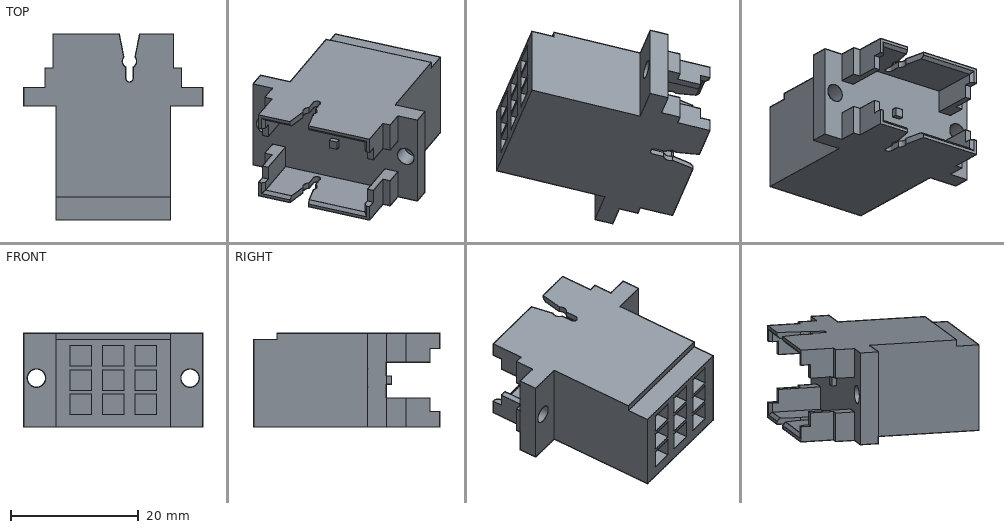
import cadquery as cq

length = 29.1
height = 14.7

body_width = 17.9
flange_width = 28.0
flange_front = 17.8
flange_back = 20.75
shoulder_width = 21.35
shoulder_back = 23.8
tail_width = 18.9

step_length = 3.63
step_depth = 1.0

hole_diameter = 2.83
hole_spacing = 24.0
hole_rise = 0.3

pocket_count = 3
pocket_width = 3.37
pocket_height = 3.2
pocket_depth = 2.0
pocket_pitch_x = 5.06
pocket_pitch_z = 3.8

wall = 1.0
mouth_chamfer = 0.5
arm_height = 4.57
tongue_height = 2.44
tongue_length = 1.54

key_width = 1.33
key_height = 1.33
key_length = 0.8

slot_x = 2.53
slot_mouth_width = 3.15
slot_throat_width = 1.74
slot_throat_depth = 3.6
slot_eye_diameter = 2.18
slot_eye_depth = 4.27
slot_width = 1.12
slot_depth = 7.5


def box(width, y_start, y_end, z_start, z_end):
    """Box centred on X, between two Y and two Z positions."""
    return (
        cq.Workplane("XY")
        .box(width, y_end - y_start, z_end - z_start, centered=(True, False, False))
        .translate((0, y_start, z_start))
    )


def full_height_box(width, y_start, y_end):
    return box(width, y_start, y_end, -height / 2, height / 2)


def make_outer_block():
    block = full_height_box(body_width, 0, flange_back)
    block = block.union(full_height_box(flange_width, flange_front, flange_back))
    block = block.union(full_height_box(shoulder_width, flange_back, shoulder_back))
    block = block.union(full_height_box(tail_width, flange_back, length))
    front_step = box(body_width, 0, step_length, height / 2 - step_depth, height / 2)
    return block.cut(front_step)


def make_mounting_holes():
    return (
        cq.Workplane("XZ")
        .pushPoints([(-hole_spacing / 2, hole_rise), (hole_spacing / 2, hole_rise)])
        .circle(hole_diameter / 2)
        .extrude(-length)
    )


def make_pockets():
    return (
        cq.Workplane("XZ")
        .rarray(pocket_pitch_x, pocket_pitch_z, pocket_count, pocket_count)
        .rect(pocket_width, pocket_height)
        .extrude(-pocket_depth)
    )


def make_cavity():
    """Rectangular cavity with a flared mouth, plus the side windows between the arms."""
    cavity_width = tail_width - 2 * wall
    cavity_height = height - 2 * wall
    cavity = box(cavity_width, flange_back, length, -cavity_height / 2, cavity_height / 2)
    flare = (
        cq.Workplane("XZ", origin=(0, length, 0))
        .rect(cavity_width + 2 * mouth_chamfer, cavity_height + 2 * mouth_chamfer)
        .workplane(offset=mouth_chamfer)
        .rect(cavity_width, cavity_height)
        .loft(ruled=True)
    )
    window_top = height / 2 - arm_height
    window = box(flange_width, flange_back, length, -window_top, window_top)
    notch_top = height / 2 - tongue_height
    notch = box(flange_width, length - tongue_length, length, -notch_top, notch_top)
    return cavity.union(flare).union(window).union(notch)


def make_key():
    return box(key_width, flange_back, flange_back + key_length, -key_height / 2, key_height / 2)


def make_latch_slot():
    """Tapered entry, round eye and narrow round-ended slot."""
    plane = cq.Workplane("XY", origin=(slot_x, length, -height / 2))
    entry = (
        plane.moveTo(-slot_mouth_width / 2, 0)
        .lineTo(slot_mouth_width / 2, 0)
        .lineTo(slot_throat_width / 2, -slot_throat_depth)
        .lineTo(-slot_throat_width / 2, -slot_throat_depth)
        .close()
        .extrude(height)
    )
    eye = plane.center(0, -slot_eye_depth).circle(slot_eye_diameter / 2).extrude(height)
    narrow_length = slot_depth - slot_throat_depth
    narrow = (
        plane.center(0, -(slot_throat_depth + slot_depth) / 2)
        .slot2D(narrow_length, slot_width, 90)
        .extrude(height)
    )
    return entry.union(eye).union(narrow)


part = make_outer_block()
part = part.cut(make_mounting_holes())
part = part.cut(make_pockets())
part = part.cut(make_cavity())
part = part.cut(make_latch_slot())
result = part.union(make_key())